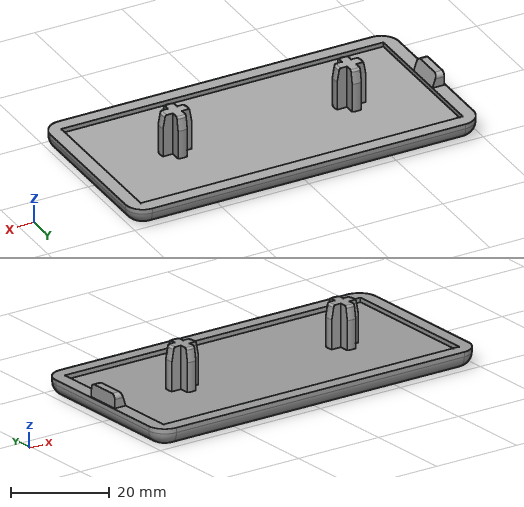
import cadquery as cq

plate_length = 80.0
plate_width = 40.0
plate_thickness = 4.0
corner_radius = 4.0
bottom_edge_radius = 3.0

rim_width = 3.0
recess_depth = 1.0
recess_floor_z = plate_thickness - recess_depth

overall_height = 12.5
post_spacing = 40.0
post_diameter = 6.9
arm_thickness = 2.1
taper_height = 3.0
taper_inset = 0.5
post_edge_radius = 0.5

tab_outer_gap = 0.25
tab_width = 8.0
tab_height = 3.0
tab_top_depth = 1.75
tab_corner_radius = 1.0


def make_plate():
    """Rounded rectangular plate with a rolled lower edge and a recessed top."""
    plate = (
        cq.Workplane("XY")
        .rect(plate_length, plate_width)
        .extrude(plate_thickness)
        .edges("|Z")
        .fillet(corner_radius)
        .faces("<Z")
        .edges()
        .fillet(bottom_edge_radius)
    )
    recess = (
        cq.Workplane("XY", origin=(0, 0, recess_floor_z))
        .rect(plate_length - 2 * rim_width, plate_width - 2 * rim_width)
        .extrude(recess_depth)
    )
    return plate.cut(recess)


def make_post(center_x):
    """Cross-shaped post trimmed to a round envelope that tapers at its tip."""
    height = overall_height - recess_floor_z
    base_radius = post_diameter / 2
    tip_radius = base_radius - taper_inset
    envelope = (
        cq.Workplane("XZ")
        .moveTo(0, 0)
        .lineTo(base_radius, 0)
        .lineTo(base_radius, height - taper_height)
        .lineTo(tip_radius, height)
        .lineTo(0, height)
        .close()
        .revolve(360, (0, 0, 0), (0, 1, 0))
        .faces(">Z")
        .edges()
        .fillet(post_edge_radius)
    )
    x_arm = cq.Workplane("XY").rect(post_diameter, arm_thickness).extrude(height)
    y_arm = cq.Workplane("XY").rect(arm_thickness, post_diameter).extrude(height)
    return x_arm.union(y_arm).intersect(envelope).translate((center_x, 0, recess_floor_z))


def make_tab():
    """Tab with an upright outer face, a sloping inner face and rounded upper corners."""
    outer_x = -plate_length / 2 + tab_outer_gap
    inner_x = -plate_length / 2 + rim_width
    top_z = plate_thickness + tab_height
    return (
        cq.Workplane("XZ", origin=(0, tab_width / 2, 0))
        .moveTo(outer_x, plate_thickness)
        .lineTo(inner_x, plate_thickness)
        .lineTo(outer_x + tab_top_depth, top_z)
        .lineTo(outer_x, top_z)
        .close()
        .extrude(tab_width)
        .faces(">Z")
        .edges("|X")
        .fillet(tab_corner_radius)
    )


result = make_plate().union(make_tab())
for side in (-1, 1):
    result = result.union(make_post(side * post_spacing / 2))